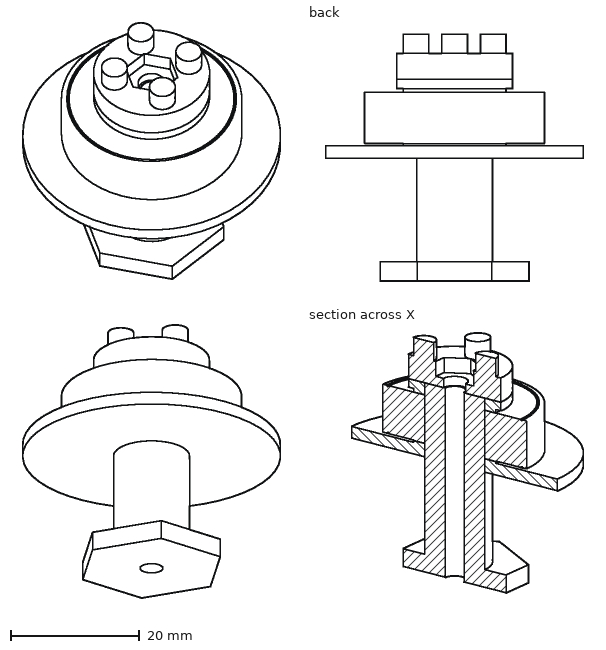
import cadquery as cq
import math

head_flats = 20.0
head_height = 3.0
shank_diameter = 11.8
shank_length = 16.0
bolt_bore = 3.5

disc_diameter = 40.0
disc_thickness = 2.0
collar_diameter = 18.0
collar_thickness = 1.5
lip_diameter = 16.0
disc_lip_height = 0.3
collar_lip_height = 0.5

bearing_diameter = 28.0
bearing_height = 8.0
bearing_fillet = 0.2
groove_outer_diameter = 26.3
groove_inner_diameter = 25.6
groove_depth = 0.2

cap_height = 4.0
pocket_flats = 7.2
pocket_depth = 2.5
cap_bore = 4.2
pin_diameter = 4.0
pin_height = 3.0
pin_count = 4
pin_circle_radius = 6.0

disc_z = head_height + shank_length
bearing_z = disc_z + disc_thickness + disc_lip_height
collar_lip_z = bearing_z + bearing_height
collar_z = collar_lip_z + collar_lip_height
cap_z = collar_z + collar_thickness
cap_top_z = cap_z + cap_height


def cylinder(diameter, height, z):
    return cq.Workplane("XY").workplane(offset=z).circle(diameter / 2).extrude(height)


def hexagon(flats, height, z):
    """Hexagonal prism with two corners on the X axis."""
    across_corners = flats / math.cos(math.pi / 6)
    return cq.Workplane("XY").workplane(offset=z).polygon(6, across_corners).extrude(height)


def make_bolt():
    """The shank passes through the disc, bearing and collar and ends under the cap."""
    head = hexagon(head_flats, head_height, 0)
    shank = cylinder(shank_diameter, cap_z - head_height, head_height)
    return head.union(shank).cut(cylinder(bolt_bore, cap_z, 0))


def make_flange_disc():
    disc = cylinder(disc_diameter, disc_thickness, disc_z)
    lip = cylinder(lip_diameter, disc_lip_height, disc_z + disc_thickness)
    bore = cylinder(shank_diameter, disc_thickness + disc_lip_height, disc_z)
    return disc.union(lip).cut(bore)


def shield_groove():
    """V-shaped ring groove around the shield in the top face."""
    profile = [
        (groove_inner_diameter / 2, collar_lip_z),
        ((groove_inner_diameter + groove_outer_diameter) / 4, collar_lip_z - groove_depth),
        (groove_outer_diameter / 2, collar_lip_z),
    ]
    return cq.Workplane("XZ").polyline(profile).close().revolve(360, (0, 0, 0), (0, 1, 0))


def make_bearing():
    body = cylinder(bearing_diameter, bearing_height, bearing_z)
    body = body.faces("<Z or >Z").edges().fillet(bearing_fillet)
    bore = cylinder(shank_diameter, bearing_height, bearing_z)
    top_groove = shield_groove()
    middle = cq.Vector(0, 0, bearing_z + bearing_height / 2)
    bottom_groove = top_groove.mirror("XY", middle)
    return body.cut(bore).cut(top_groove).cut(bottom_groove)


def make_collar():
    lip = cylinder(lip_diameter, collar_lip_height, collar_lip_z)
    rim = cylinder(collar_diameter, collar_thickness, collar_z)
    bore = cylinder(shank_diameter, collar_thickness + collar_lip_height, collar_lip_z)
    return lip.union(rim).cut(bore)


def make_drive_cap():
    cap = cylinder(collar_diameter, cap_height, cap_z)
    cap = cap.cut(hexagon(pocket_flats, pocket_depth, cap_top_z - pocket_depth))
    cap = cap.cut(cylinder(cap_bore, cap_height, cap_z))
    pins = (
        cq.Workplane("XY")
        .workplane(offset=cap_top_z)
        .polarArray(pin_circle_radius, 0, 360, pin_count)
        .circle(pin_diameter / 2)
        .extrude(pin_height)
    )
    return cap.union(pins)


bolt = make_bolt()
flange_disc = make_flange_disc()
bearing = make_bearing()
collar = make_collar()
drive_cap = make_drive_cap()

result = cq.Compound.makeCompound(
    [bolt.val(), flange_disc.val(), bearing.val(), collar.val(), drive_cap.val()]
)